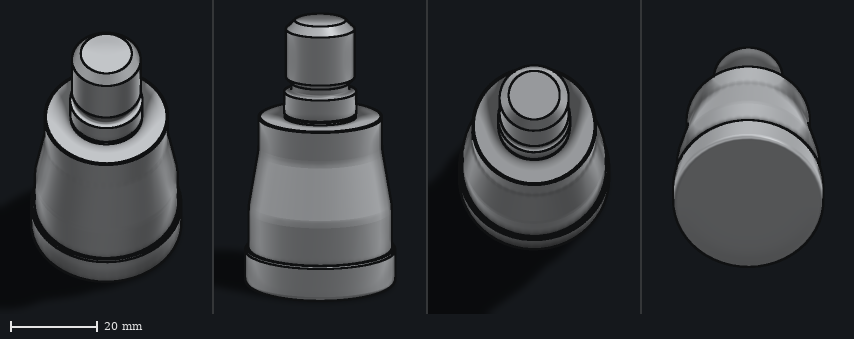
import cadquery as cq
import math

base_radius = 17.45
base_top = 8.5
base_chamfer_height = 0.55
base_chamfer_width = 0.3
base_bottom_round = 1.15
barrel_radius = 16.65
barrel_top = 17.4
neck_radius = 14.35
neck_bottom = 32.95
housing_top = 39.95
neck_chamfer_height = 0.2
neck_chamfer_width = 0.4
blend_height = 1.75
blend_step = 0.1

foot_radius = 8.3
waist_radius = 7.95
waist_height = 0.45
collar_radius = 8.4
collar_chamfer_height = 0.45
collar_top = 45.9
groove_radius = 6.7
groove_fillet = 0.75
groove_top = 48.1
shank_radius = 8.0
shank_top = 63.0
shank_chamfer = 2.1


def make_housing():
    """Revolve the base rim, barrel, S-shaped taper and neck."""
    turn = 2 * math.atan2(blend_step, blend_height)
    taper_direction = (-math.sin(turn), math.cos(turn))
    taper_bottom = (barrel_radius - blend_step, barrel_top + blend_height)
    taper_top = (neck_radius + blend_step, neck_bottom - blend_height)
    profile = (
        cq.Workplane("XZ")
        .lineTo(base_radius, 0)
        .lineTo(base_radius, base_top - base_chamfer_height)
        .lineTo(base_radius - base_chamfer_width, base_top)
        .lineTo(barrel_radius, base_top)
        .lineTo(barrel_radius, barrel_top)
        .tangentArcPoint(taper_bottom, relative=False)
        .spline([taper_top], tangents=[taper_direction, taper_direction], includeCurrent=True)
        .tangentArcPoint((neck_radius, neck_bottom), relative=False)
        .lineTo(neck_radius, housing_top - neck_chamfer_height)
        .lineTo(neck_radius - neck_chamfer_width, housing_top)
        .lineTo(0, housing_top)
        .close()
    )
    body = profile.revolve(360, (0, 0, 0), (0, 1, 0))
    return body.faces("<Z").edges().fillet(base_bottom_round)


def make_stud():
    """Revolve the undercut foot, collar, relief groove and shank."""
    waist = housing_top + waist_height
    profile = (
        cq.Workplane("XZ")
        .moveTo(0, housing_top)
        .lineTo(foot_radius, housing_top)
        .lineTo(waist_radius, waist)
        .lineTo(collar_radius, waist + collar_chamfer_height)
        .lineTo(collar_radius, collar_top)
        .lineTo(groove_radius + groove_fillet, collar_top)
        .radiusArc((groove_radius, collar_top + groove_fillet), groove_fillet)
        .lineTo(groove_radius, groove_top)
        .lineTo(shank_radius, groove_top + shank_radius - groove_radius)
        .lineTo(shank_radius, shank_top - shank_chamfer)
        .lineTo(shank_radius - shank_chamfer, shank_top)
        .lineTo(0, shank_top)
        .close()
    )
    return profile.revolve(360, (0, 0, 0), (0, 1, 0))


housing = make_housing()
stud = make_stud()
result = cq.Compound.makeCompound([housing.val(), stud.val()])